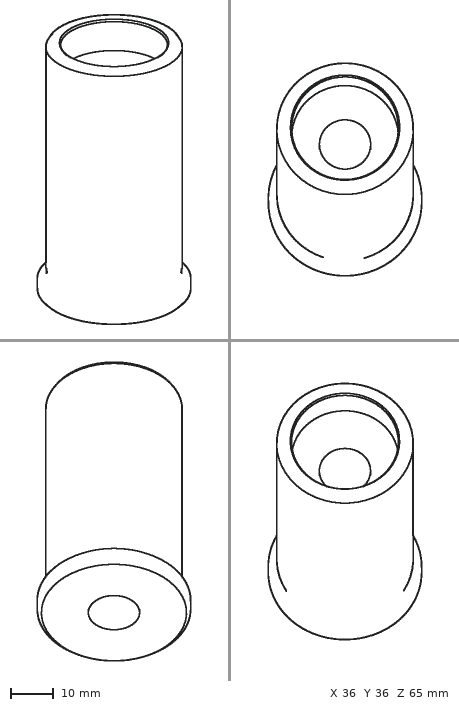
import cadquery as cq
import math

MATCH_TOLERANCE = 0.01

total_height = 65.0
body_radius = 32.0 / 2

flange_radius = 36.0 / 2
flange_height = 5.0
flange_chamfer = 1.0
flange_edge_round = 0.4

groove_radius = 31.7 / 2
groove_floor_top = 6.5
groove_runout_angle = 15.0
groove_fillet = 0.4

lead_in_height = 1.0
lead_in_angle = 30.0
lead_in_round = 0.4

bore_radius = 25.0 / 2
bore_chamfer_width = 0.3
bore_chamfer_height = 0.5
bore_depth = 8.0
hole_radius = 12.0 / 2
cone_half_angle = 45.0


def round_ring(solid, radius, height, fillet_radius):
    """Fillet the one circular edge that has the given radius and height."""
    def is_ring(edge):
        same_radius = abs(edge.radius() - radius) < MATCH_TOLERANCE
        same_height = abs(edge.Center().z - height) < MATCH_TOLERANCE
        return same_radius and same_height

    return solid.edges("%CIRCLE").filter(is_ring).fillet(fillet_radius)


def revolve_profile(points):
    """Revolve a closed (radius, height) profile about the Z axis."""
    return cq.Workplane("XZ").polyline(points).close().revolve(360, (0, 0, 0), (0, 1, 0))


def make_outside():
    """Flange, relief groove and body with its lead-in taper, as a solid of revolution."""
    runout = (body_radius - groove_radius) / math.tan(math.radians(groove_runout_angle))
    tip_radius = body_radius - lead_in_height * math.tan(math.radians(lead_in_angle))
    rim_radius = flange_radius - flange_chamfer
    outside = revolve_profile([
        (0, 0),
        (rim_radius, 0),
        (flange_radius, flange_chamfer),
        (flange_radius, flange_height - flange_chamfer),
        (rim_radius, flange_height),
        (groove_radius, flange_height),
        (groove_radius, groove_floor_top),
        (body_radius, groove_floor_top + runout),
        (body_radius, total_height - lead_in_height),
        (tip_radius, total_height),
        (0, total_height),
    ])
    outside = round_ring(outside, groove_radius, flange_height, groove_fillet)
    outside = round_ring(outside, tip_radius, total_height, lead_in_round)
    flange_edges = [
        (flange_radius, flange_chamfer),
        (flange_radius, flange_height - flange_chamfer),
        (rim_radius, flange_height),
    ]
    for radius, height in flange_edges:
        outside = round_ring(outside, radius, height, flange_edge_round)
    return outside


def make_bore():
    """Chamfered bore that narrows through a cone to the through hole."""
    bore_floor = total_height - bore_depth
    cone_height = (bore_radius - hole_radius) / math.tan(math.radians(cone_half_angle))
    return revolve_profile([
        (0, 0),
        (hole_radius, 0),
        (hole_radius, bore_floor - cone_height),
        (bore_radius, bore_floor),
        (bore_radius, total_height - bore_chamfer_height),
        (bore_radius + bore_chamfer_width, total_height),
        (0, total_height),
    ])


result = make_outside().cut(make_bore())